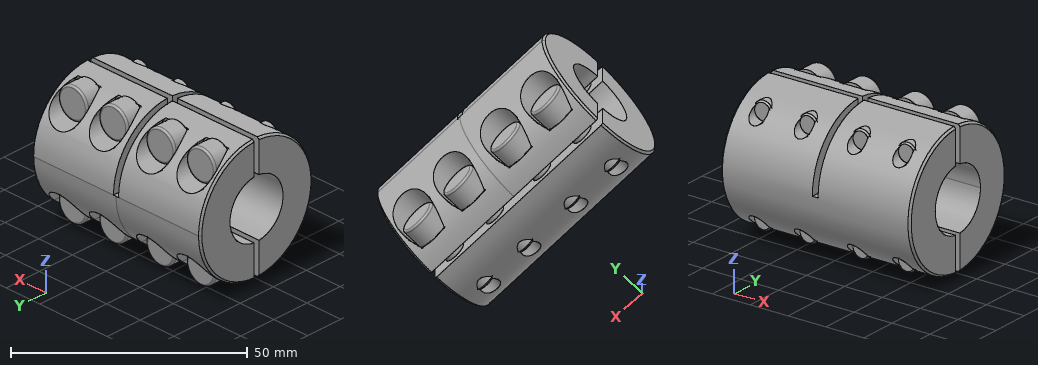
import cadquery as cq


length = 50.0
outer_diameter = 34.0
bore_diameter = 16.0
end_chamfer = 0.5
split_gap = 1.5
relief_slot_width = 1.5

inner_screw_x = 7.0
screw_pitch = 12.0
outer_screw_x = inner_screw_x + screw_pitch
screw_row_z = 12.5
screw_places = [
    (x, z)
    for z in (screw_row_z, -screw_row_z)
    for x in (-outer_screw_x, -inner_screw_x, inner_screw_x, outer_screw_x)
]

shank_diameter = 5.0
head_diameter = 8.5
head_height = 5.0
head_fillet = 0.5
seat_y = 5.75
tip_y = -10.15

head_pocket_diameter = 9.6
tap_drill_diameter = 4.2

tip_chamfer = (shank_diameter - tap_drill_diameter) / 2


def cylinder_along_y(diameter, start_y, end_y, x, z):
    """Cylinder parallel to Y, centred on (x, z), from start_y up to end_y."""
    base = cq.Workplane(cq.Plane(origin=(x, start_y, z), xDir=(1, 0, 0), normal=(0, 1, 0)))
    return base.circle(diameter / 2).extrude(end_y - start_y)


def make_screw(x, z):
    """Cap screw with a rounded head edge and a chamfered tip."""
    shank = cylinder_along_y(shank_diameter, tip_y, seat_y, x, z)
    shank = shank.faces("<Y").chamfer(tip_chamfer)
    head = cylinder_along_y(head_diameter, seat_y, seat_y + head_height, x, z)
    head = head.faces(">Y").edges().fillet(head_fillet)
    return shank.union(head)


def make_sleeve():
    """Whole bored cylinder with chamfered ends and the relief slot, before it is split."""
    sleeve = cq.Workplane("YZ").circle(outer_diameter / 2).extrude(length / 2, both=True)
    sleeve = sleeve.faces("<X or >X").chamfer(end_chamfer)
    bore = cq.Workplane("YZ").circle(bore_diameter / 2).extrude(length / 2, both=True)

    relief_slot = cq.Workplane("XY").box(
        relief_slot_width, outer_diameter, outer_diameter / 2, centered=(True, True, False)
    )
    return sleeve.cut(bore).cut(relief_slot)


def make_half(side):
    """Half of the sleeve on the given side of the split: +1 for +Y, -1 for -Y."""
    half_depth = outer_diameter / 2
    keep = cq.Workplane("XY").box(length, half_depth, outer_diameter)
    keep = keep.translate((0, side * (split_gap + half_depth) / 2, 0))
    return make_sleeve().intersect(keep)


def make_head_half():
    """Half on the +Y side, with open pockets for the heads and holes that fit the shanks."""
    half = make_half(1)
    for x, z in screw_places:
        half = half.cut(cylinder_along_y(head_pocket_diameter, seat_y, outer_diameter / 2, x, z))
        half = half.cut(cylinder_along_y(shank_diameter, 0, seat_y, x, z))
    return half


def make_threaded_half():
    """Half on the -Y side, with tap drill holes right through, widened to fit the screws."""
    half = make_half(-1)
    for x, z in screw_places:
        half = half.cut(cylinder_along_y(tap_drill_diameter, -outer_diameter / 2, 0, x, z))
        half = half.cut(make_screw(x, z))
    return half


head_half = make_head_half().solids().val()
threaded_half = make_threaded_half().solids().val()
screws = [make_screw(x, z).solids().val() for x, z in screw_places]

result = cq.Compound.makeCompound([head_half, threaded_half, *screws])